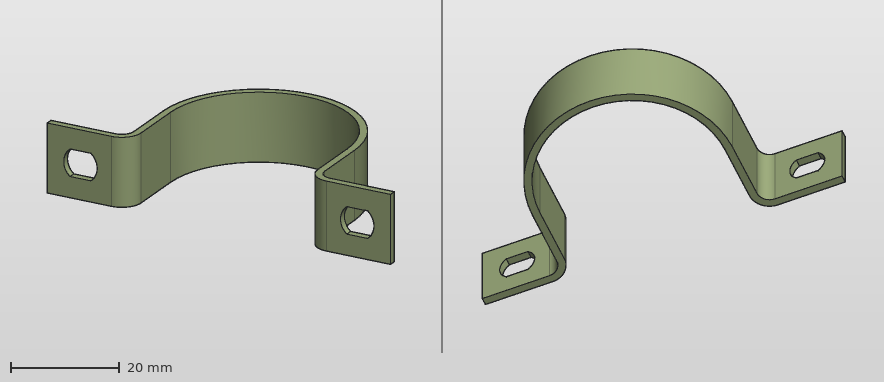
import cadquery as cq
import math

length = 72.0
depth = 35.5
strap_width = 14.0
thickness = 1.5

arch_outer_radius = 20.0
arch_inner_radius = arch_outer_radius - thickness
bend_inner_radius = 2.5
bend_outer_radius = bend_inner_radius + thickness

hole_diameter = 7.0
hole_height = 5.5
hole_spacing = 58.0

foot_front_y = arch_outer_radius - depth
foot_back_y = foot_front_y + thickness
bend_center_x = arch_outer_radius + bend_inner_radius
bend_center_y = foot_front_y + bend_outer_radius
foot_end_x = length / 2
diagonal = math.sqrt(0.5)


def bend_middle(side, radius):
    """Middle point of a bend arc; side is -1 for left and 1 for right."""
    return (
        side * (bend_center_x - radius * diagonal),
        bend_center_y - radius * diagonal,
    )


def make_strap():
    """Constant-thickness strap: foot, bend, leg, arch, leg, bend, foot."""
    return (
        cq.Workplane("XY")
        .workplane(offset=-strap_width / 2)
        .moveTo(-foot_end_x, foot_back_y)
        .lineTo(-bend_center_x, foot_back_y)
        .threePointArc(bend_middle(-1, bend_inner_radius), (-arch_outer_radius, bend_center_y))
        .lineTo(-arch_outer_radius, 0)
        .threePointArc((0, arch_outer_radius), (arch_outer_radius, 0))
        .lineTo(arch_outer_radius, bend_center_y)
        .threePointArc(bend_middle(1, bend_inner_radius), (bend_center_x, foot_back_y))
        .lineTo(foot_end_x, foot_back_y)
        .lineTo(foot_end_x, foot_front_y)
        .lineTo(bend_center_x, foot_front_y)
        .threePointArc(bend_middle(1, bend_outer_radius), (arch_inner_radius, bend_center_y))
        .lineTo(arch_inner_radius, 0)
        .threePointArc((0, arch_inner_radius), (-arch_inner_radius, 0))
        .lineTo(-arch_inner_radius, bend_center_y)
        .threePointArc(bend_middle(-1, bend_outer_radius), (-bend_center_x, foot_front_y))
        .lineTo(-foot_end_x, foot_front_y)
        .close()
        .extrude(strap_width)
    )


def make_hole_cutter(x):
    """Cylinder through a foot, trimmed by two horizontal flats."""
    foot_middle_y = (foot_front_y + foot_back_y) / 2
    cutter_length = 2 * thickness
    plane = cq.Workplane("XZ", origin=(x, foot_middle_y, 0))
    cylinder = plane.circle(hole_diameter / 2).extrude(cutter_length / 2, both=True)
    flats = plane.rect(hole_diameter, hole_height).extrude(cutter_length / 2, both=True)
    return cylinder.intersect(flats)


result = make_strap()
for side in (-1, 1):
    result = result.cut(make_hole_cutter(side * hole_spacing / 2))